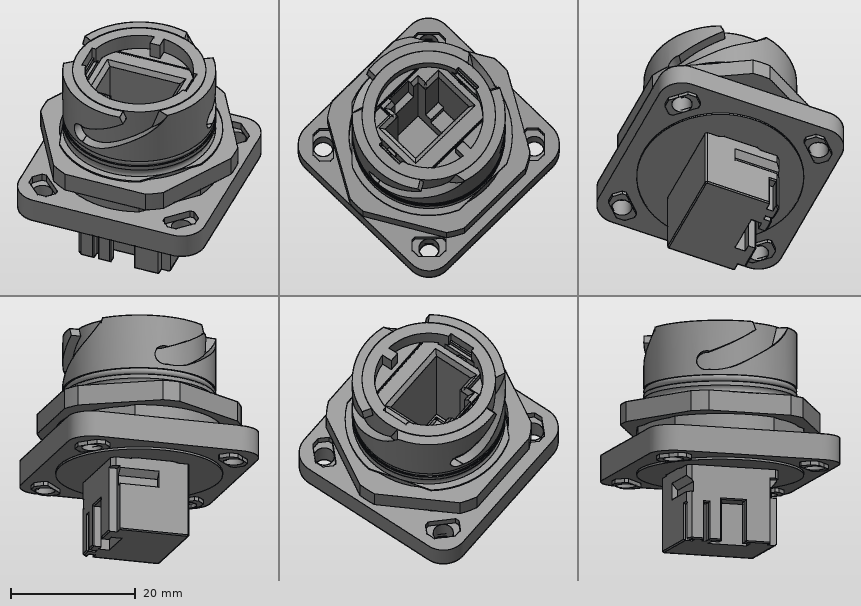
import cadquery as cq
import math

total_height = 35.23
pad_bottom = 11.8
disc_bottom = 12.12
flange_bottom = 12.47
flange_top = 16.7
nut_bottom = 19.6
nut_top = 22.85
thread_top = 23.1
band_bottom = 24.45
band_top = 25.15
bead_top = 26.2
shoulder_top = 35.1
jack_top = 32.5

flange_size = 32.0
flange_corner_radius = 3.98
thread_radius = 13.42
thread_flat_distance = 12.3
thread_flat_angles = (90, 195, 315)
nut_flats = 29.9
nut_corners = 32.98
nut_bore_radius = 12.8
barrel_radius = 12.3
lip_radius = 10.7
bore_radius = 8.7
neck_depth = 0.28

hole_offset = 11.98
hole_radius = 1.62
nut_pocket_half_length = 2.7
nut_pocket_half_width = 1.62
nut_pocket_outer_chamfer = 1.02
nut_pocket_inner_chamfer = 0.5
nut_pocket_floor = 15.43

groove_count = 3
groove_left_x = -5.43
groove_bottom = 27.02
groove_upper_edge = [(groove_left_x, 30.05), (-2.82, 31.15), (1.95, 33.8)]
groove_stop_top_x = 1.2
groove_lower_edge = [(-3.17, 27.2), (0, 28.45), (2.85, 30.1), (5.9, 32.05), (8.5, 35.15)]
groove_end_radius = 1.55
groove_end_x = -5.95
groove_end_height = 28.57
groove_end_tilt = 17.0
entry_ramp_origin = (6.75, -8.3, 35.23)
entry_ramp_edge = (4.7, -1.8, 0)
entry_ramp_normal = (-16.9, -44.2, 15.1)

jack_center_x = -0.15
jack_half_width = 7.75
jack_back = 6.0
jack_front = -7.15
jack_left = jack_center_x - jack_half_width
jack_right = jack_center_x + jack_half_width
front_corner_chamfer = 0.67
back_corner_chamfer = 0.28
bottom_chamfer = 0.2
bevel_angle = 45

opening_half_width = 6.75
opening_back = 3.63
opening_front = -4.7
opening_lead_in = 0.7
latch_notch_half_width = 3.85
latch_notch_front = -6.38
cavity_floor = 10.57
shoulder_height = 14.1
shoulder_step_height = 15.85
shoulder_step_back = -2.8
latch_channel_half_width = 2.1
latch_channel_front = -6.87
latch_channel_depth = 7.05


def box(x_range, y_range, z_range):
    """Block spanning the given coordinate ranges."""
    size = [limits[1] - limits[0] for limits in (x_range, y_range, z_range)]
    corner = (x_range[0], y_range[0], z_range[0])
    return cq.Workplane("XY").box(*size, centered=False).translate(corner)


def cylinder(radius, bottom, top):
    """Upright cylinder on the main axis."""
    return cq.Workplane("XY").workplane(offset=bottom).circle(radius).extrude(top - bottom)


def mirrored_in_x(x_inner, x_outer, y_range, z_range):
    """Pair of blocks on both sides of the YZ plane."""
    right = box((x_inner, x_outer), y_range, z_range)
    return right.union(right.mirror("YZ"))


def nut_pocket_prism(bottom, top):
    """Chamfered-rectangle prism; local X points away from the main axis."""
    length = nut_pocket_half_length
    width = nut_pocket_half_width
    outer = nut_pocket_outer_chamfer
    inner = nut_pocket_inner_chamfer
    outline = [
        (width, length - outer), (width - outer, length), (inner - width, length), (-width, length - inner),
        (-width, inner - length), (inner - width, -length), (width - outer, -length), (width, outer - length),
    ]
    return cq.Workplane("XY").workplane(offset=bottom).polyline(outline).close().extrude(top - bottom)


def at_flange_corners(shape):
    """Copies of a shape moved out along X and turned to the four corners."""
    moved = shape.translate((hole_offset * math.sqrt(2), 0, 0))
    copies = cq.Workplane("XY")
    for angle in (45, 135, 225, 315):
        copies = copies.add(moved.rotate((0, 0, 0), (0, 0, 1), angle))
    return copies.combine()


def flange():
    plate = box((-flange_size / 2, flange_size / 2), (-flange_size / 2, flange_size / 2),
                (flange_bottom, flange_top))
    plate = plate.edges("|Z").fillet(flange_corner_radius)
    plate = plate.union(cylinder(thread_radius, disc_bottom, flange_bottom))
    plate = plate.union(at_flange_corners(nut_pocket_prism(pad_bottom, flange_bottom)))
    plate = plate.cut(at_flange_corners(nut_pocket_prism(nut_pocket_floor, flange_top)))
    return plate.cut(at_flange_corners(cylinder(hole_radius, pad_bottom, flange_top)))


def threaded_section():
    section = cylinder(thread_radius, flange_top, thread_top)
    for angle in thread_flat_angles:
        beyond_flat = box((thread_flat_distance, thread_radius), (-thread_radius, thread_radius),
                          (flange_top, thread_top))
        section = section.cut(beyond_flat.rotate((0, 0, 0), (0, 0, 1), angle))
    return section


def nut():
    """Hexagon with its corners turned off; its bore leaves gaps at the thread flats."""
    hexagon = cq.Workplane("XY").workplane(offset=nut_bottom)
    hexagon = hexagon.polygon(6, nut_flats / math.cos(math.pi / 6)).extrude(nut_top - nut_bottom)
    turned = hexagon.intersect(cylinder(nut_corners / 2, nut_bottom, nut_top))
    return turned.cut(cylinder(nut_bore_radius, nut_bottom, nut_top))


def barrel():
    """Turned profile: concave neck, band, rounded bead and barrel; the core carries the lip."""
    neck_radius = barrel_radius - neck_depth
    neck_middle = (thread_top + band_bottom) / 2
    bead_middle = (band_top + bead_top) / 2
    profile = (
        cq.Workplane("XZ")
        .moveTo(0, flange_top)
        .lineTo(neck_radius, flange_top)
        .lineTo(neck_radius, thread_top)
        .lineTo(barrel_radius, thread_top)
        .threePointArc((neck_radius, neck_middle), (barrel_radius, band_bottom))
        .lineTo(barrel_radius, band_top)
        .lineTo(neck_radius, band_top)
        .threePointArc((barrel_radius, bead_middle), (neck_radius, bead_top))
        .lineTo(barrel_radius, bead_top)
        .lineTo(barrel_radius, shoulder_top)
        .lineTo(0, shoulder_top)
        .close()
    )
    sleeve = profile.revolve(360, (0, 0, 0), (0, 1, 0))
    return sleeve.cut(bayonet_grooves()).union(cylinder(lip_radius, flange_top, total_height))


def bayonet_grooves():
    """Curved grooves rising to the top; the core of the barrel closes their floor."""
    inner_distance = lip_radius / 2
    cut_depth = barrel_radius + 0.35 - inner_distance
    above_top = total_height + 0.35
    groove = (
        cq.Workplane("XZ", origin=(0, -inner_distance, 0))
        .moveTo(groove_left_x, groove_bottom)
        .spline(groove_lower_edge, includeCurrent=True)
        .lineTo(groove_lower_edge[-1][0], above_top)
        .lineTo(groove_stop_top_x, above_top)
        .lineTo(*groove_upper_edge[-1])
        .spline(groove_upper_edge[-2::-1], includeCurrent=True)
        .close()
        .extrude(cut_depth)
    )
    ramp_plane = cq.Plane(origin=entry_ramp_origin, xDir=entry_ramp_edge, normal=entry_ramp_normal)
    behind_ramp = cq.Workplane(ramp_plane).rect(flange_size, flange_size).extrude(-flange_size)
    groove = groove.cut(behind_ramp)

    end_y = -math.sqrt(barrel_radius**2 - groove_end_x**2)
    tilt = math.radians(groove_end_tilt)
    inward = cq.Vector(math.sin(tilt), math.cos(tilt), 0)
    end_start = cq.Vector(groove_end_x, end_y, groove_end_height) - inward * groove_end_radius
    round_end = cq.Solid.makeCylinder(groove_end_radius, lip_radius / 2, end_start, inward)
    groove = groove.union(cq.Workplane(round_end))

    grooves = cq.Workplane("XY")
    for index in range(groove_count):
        grooves = grooves.add(groove.rotate((0, 0, 0), (0, 0, 1), index * 360 / groove_count))
    return grooves.combine()


key_half_width = 0.85
key_inner_end = 6.9
clip_recess_end = 9.02
clip_step_end = 8.75
clip_step_height = 0.7
clip_recess_y = (-2.22, 2.33)
gap_outer = 8.2
gap_half_length = 3.88
bridge_y = (-1.4, 0.25)
bridge_height = 1.05
bridge_drop = 0.7
seam_width = 0.2
seam_depth = 0.35


def bore():
    space = cylinder(bore_radius, jack_top, total_height)
    key = box((-key_half_width, key_half_width), (key_inner_end, bore_radius), (jack_top, total_height))
    step_top = jack_top + clip_step_height
    upper = mirrored_in_x(jack_half_width, clip_recess_end, clip_recess_y, (step_top, total_height))
    lower = mirrored_in_x(jack_half_width, clip_step_end, clip_recess_y, (jack_top, step_top))
    return space.cut(key).union(upper).union(lower)


def jack_gaps():
    """Through gaps left and right of the jack, and the seams behind and in front of it."""
    gap_y = (-gap_half_length, gap_half_length)
    gaps = box((jack_right, gap_outer), gap_y, (disc_bottom, jack_top))
    gaps = gaps.union(box((-gap_outer, jack_left), gap_y, (disc_bottom, jack_top)))
    bridge_top = jack_top - bridge_drop
    bridges = mirrored_in_x(jack_right, gap_outer, bridge_y, (bridge_top - bridge_height, bridge_top))
    seam_z = (jack_top - seam_depth, jack_top)
    seam_x = (-jack_half_width, jack_half_width)
    back_seam = box(seam_x, (jack_back, jack_back + seam_width), seam_z)
    front_seam = box(seam_x, (jack_front - seam_width, jack_front), seam_z)
    inside_bore = cylinder(bore_radius, disc_bottom, jack_top)
    return gaps.cut(bridges).union(back_seam).union(front_seam).intersect(inside_bore)


hook_depth = 0.95
hook_bottom = 7.75
hook_slope_bottom = 9.35
hook_slope_top = 10.43
hook_back = 0.85
slot_depth = 1.4
front_slot_x = -4.7
front_slot_width = 0.75
front_slot_top = 6.1
side_slot_y = -5.8
side_slot_width = 1.13
side_slot_top = 5.95
latch_slot_width = 4.0
latch_slot_top = 6.73
latch_slot_back = -3.95
latch_wall = 1.4
latch_hollow_half_width = 3.25
mouth_chamfer = 0.2
corner_step_x = 6.05
corner_step_depth = 1.4
corner_step_top = 10.7


def jack_body():
    body = box((jack_left, jack_right), (jack_front, jack_back), (0, flange_bottom))
    body = body.edges("|Z and <Y").chamfer(front_corner_chamfer)
    body = body.edges("|Z and >Y").chamfer(back_corner_chamfer)
    return body.faces("<Z").edges().chamfer(bottom_chamfer)


def hook_recess(face_x, inward):
    """Side recess with a sloped ceiling, open towards the front."""
    inner_x = face_x + inward * hook_depth
    outline = [
        (face_x, hook_bottom), (inner_x, hook_bottom),
        (inner_x, hook_slope_bottom), (face_x, hook_slope_top),
    ]
    recess = cq.Workplane("XZ", origin=(0, hook_back, 0)).polyline(outline).close()
    return recess.extrude(hook_back - jack_front)


def slot_mouth(width, top):
    """Chamfered slot mouth, centred on X, with the jack face at Y = 0 and depth along +Y."""
    outline = cq.Workplane("XZ").rect(width + 2 * mouth_chamfer, 2 * (top + mouth_chamfer))
    return outline.extrude(-mouth_chamfer, taper=bevel_angle)


def jack_slot(width, top, depth):
    """Slot open at the bottom, centred on X, cut from Y = 0 along +Y."""
    slot = box((-width / 2, width / 2), (0, depth), (0, top))
    return slot.union(slot_mouth(width, top))


def jack_slots():
    front_slot = jack_slot(front_slot_width, front_slot_top, slot_depth)
    front_slot = front_slot.translate((front_slot_x, jack_front, 0))
    side_slot = jack_slot(side_slot_width, side_slot_top, slot_depth).rotate((0, 0, 0), (0, 0, 1), -90)
    side_slot = side_slot.translate((jack_left, side_slot_y, 0))
    latch_slot = jack_slot(latch_slot_width, latch_slot_top, latch_wall)
    latch_slot = latch_slot.translate((jack_center_x, jack_front, 0))
    latch_hollow = box((jack_center_x - latch_hollow_half_width, jack_center_x + latch_hollow_half_width),
                       (jack_front + latch_wall, latch_slot_back), (0, latch_slot_top))
    corner_step = box((corner_step_x, jack_right), (jack_front, jack_front + corner_step_depth),
                      (0, corner_step_top))
    slots = front_slot.union(side_slot).union(latch_slot).union(latch_hollow).union(corner_step)
    return slots.union(hook_recess(jack_left, 1)).union(hook_recess(jack_right, -1))


corner_pocket_x = (3.88, 7.05)
corner_pocket_back = -5.0
corner_pocket_depth = 1.05


def opening_outline(inset, height):
    """T-shaped plug outline, shrunk on every side by the inset."""
    half = opening_half_width - inset
    notch = latch_notch_half_width - inset
    back = opening_back - inset
    front = opening_front + inset
    notch_front = latch_notch_front + inset
    outline = [
        (-half, back), (half, back), (half, front), (notch, front),
        (notch, notch_front), (-notch, notch_front), (-notch, front), (-half, front),
    ]
    return cq.Workplane("XY", origin=(jack_center_x, 0, height)).polyline(outline).close()


def plug_opening():
    lead_in = opening_outline(0, jack_top).extrude(-opening_lead_in, taper=bevel_angle)
    inner_top = jack_top - opening_lead_in
    cavity = opening_outline(opening_lead_in, inner_top).extrude(cavity_floor - inner_top)
    channel_half = latch_notch_half_width - opening_lead_in
    full_y = (opening_front, opening_back)
    step_y = (opening_front, shoulder_step_back)
    shoulders = mirrored_in_x(channel_half, opening_half_width, full_y, (cavity_floor, shoulder_height))
    steps = mirrored_in_x(channel_half, opening_half_width, step_y, (cavity_floor, shoulder_step_height))
    cavity = cavity.cut(shoulders.union(steps).translate((jack_center_x, 0, 0)))
    latch_channel = box((jack_center_x - latch_channel_half_width, jack_center_x + latch_channel_half_width),
                        (latch_channel_front, opening_front), (jack_top - latch_channel_depth, jack_top))
    pocket = box(corner_pocket_x, (jack_front, corner_pocket_back),
                 (jack_top - corner_pocket_depth, jack_top))
    pocket = pocket.intersect(cylinder(bore_radius, disc_bottom, jack_top))
    return lead_in.union(cavity).union(latch_channel).union(pocket)


shell = flange().union(threaded_section()).union(nut()).union(barrel()).cut(bore())
jack = jack_body().cut(jack_slots())
result = shell.union(jack).cut(jack_gaps()).cut(plug_opening())